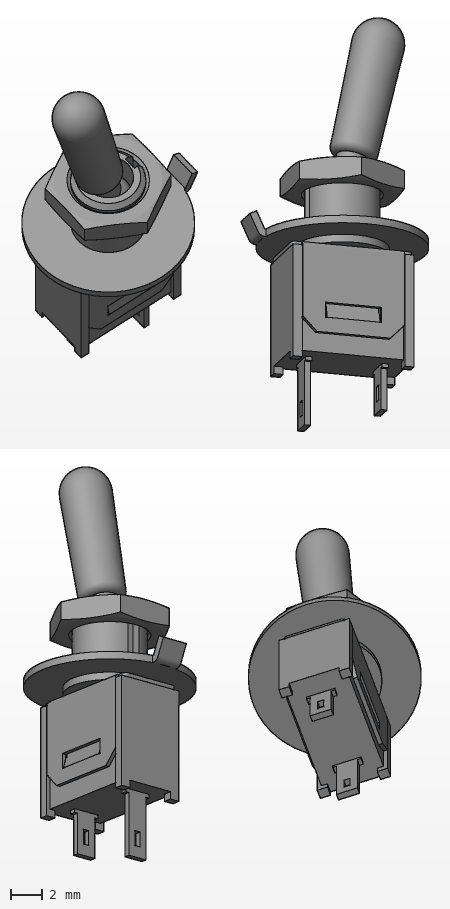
import cadquery as cq
import math


overall_height = 27.7

bushing_diameter = 4.8
bushing_bore = 3.2
bushing_height = 5.87
bushing_chamfer = 0.33
flange_diameter = 5.98
flange_thickness = 0.5
keyway_width = 0.91
keyway_floor = 1.75

washer_diameter = 11.0
washer_thickness = 0.5
washer_bottom = flange_thickness
washer_top = washer_bottom + washer_thickness
tongue_tip = 2.0
tab_width = 1.9
tab_length = 1.27
tab_lean = 25.0
tab_bend_y = 5.48
ring_overlap = 0.28

nut_across_flats = 7.0
nut_thickness = 1.5
nut_countersink_diameter = 5.24
nut_face_diameter = 6.9
nut_chamfer_angle = 15.0
nut_top = bushing_height - bushing_chamfer
nut_bottom = nut_top - nut_thickness

lever_lean = 12.5
pivot_height = 3.55
ball_diameter = bushing_bore
neck_diameter = 2.08
grip_start = 3.13
grip_bottom_diameter = 3.1
dome_diameter = 3.4
grip_fillet = 0.5

sheet = 0.28
body_width = 4.75
body_length = 8.05
post_thickness = 0.6
side_plate_clearance = 0.03
plate_corner_radius = 0.25
side_plate_bottom = -5.95
side_plate_chamfer = 0.95
window_width = 3.75
window_height = 1.0
window_bottom = -4.95

housing_bottom = -7.23
foot_height = 0.5
foot_width = 0.7
latch_width = 3.52

terminal_y = 2.55
terminal_width = 1.4
terminal_thickness = 0.42
shoulder_width = 1.9
shoulder_height = 0.25
long_terminal_length = 4.5
short_terminal_length = 3.0
slot_width = 0.42
slot_height = 1.0
slot_margin = 0.78

lever_top = housing_bottom - long_terminal_length + overall_height
dome_radius = dome_diameter / 2
dome_start = (lever_top - dome_radius - pivot_height) / math.cos(math.radians(lever_lean))
washer_root_y = bushing_diameter / 2 + ring_overlap
core_width = body_width - 2 * sheet
pocket_length = body_length - 2 * post_thickness


def block(width, length, bottom, top):
    """A box centred on the Z axis."""
    return cq.Workplane("XY", origin=(0, 0, bottom)).rect(width, length).extrude(top - bottom)


def cylinder(diameter, bottom, top):
    """A cylinder on the Z axis."""
    return cq.Workplane("XY", origin=(0, 0, bottom)).circle(diameter / 2).extrude(top - bottom)


def keyway_block(inner_y, outer_y, bottom, top):
    """A bar as wide as the keyway, from inner_y to outer_y."""
    return block(keyway_width, outer_y - inner_y, bottom, top).translate((0, (inner_y + outer_y) / 2, 0))


def make_bushing():
    """A flanged tube with a keyway along its +Y side."""
    body = cylinder(bushing_diameter, 0, bushing_height).faces(">Z").chamfer(bushing_chamfer)
    body = body.union(cylinder(flange_diameter, 0, flange_thickness))
    body = body.cut(cylinder(bushing_bore, 0, bushing_height))
    return body.cut(keyway_block(keyway_floor, bushing_diameter, flange_thickness, bushing_height))


def make_washer_tab():
    """The tab at the +Y rim, bent upward around the washer's top edge."""
    lean = math.radians(tab_lean)
    bend_middle_angle = (math.pi / 2 + lean) / 2
    bend = cq.Vector(tab_bend_y, washer_top)
    along = cq.Vector(math.sin(lean), math.cos(lean)) * tab_length
    across = cq.Vector(math.cos(lean), -math.sin(lean)) * washer_thickness
    to_bend_middle = cq.Vector(math.cos(bend_middle_angle), -math.sin(bend_middle_angle)) * washer_thickness
    return (
        cq.Workplane("YZ", origin=(-tab_width / 2, 0, 0))
        .moveTo(washer_root_y, washer_top)
        .lineTo(*bend.toTuple()[:2])
        .lineTo(*(bend + along).toTuple()[:2])
        .lineTo(*(bend + along + across).toTuple()[:2])
        .lineTo(*(bend + across).toTuple()[:2])
        .threePointArc((bend + to_bend_middle).toTuple()[:2], (tab_bend_y, washer_bottom))
        .lineTo(washer_root_y, washer_bottom)
        .close()
        .extrude(tab_width)
    )


def make_washer():
    """A ring with a tongue in the bushing keyway and a bent locating tab."""
    ring = cylinder(washer_diameter, washer_bottom, washer_top)
    ring = ring.cut(cylinder(bushing_diameter, washer_bottom, washer_top))
    tongue = keyway_block(tongue_tip, washer_root_y, washer_bottom, washer_top)
    return ring.union(tongue).union(make_washer_tab())


def make_nut():
    """A hexagon nut with chamfered corners and a bore countersunk at both ends."""
    corner_diameter = nut_across_flats / math.cos(math.pi / 6)
    hexagon = cq.Workplane("XY", origin=(0, 0, nut_bottom)).polygon(6, corner_diameter).extrude(nut_thickness)
    corner_drop = (corner_diameter - nut_face_diameter) / 2 * math.tan(math.radians(nut_chamfer_angle))
    envelope = (
        cq.Workplane("XZ")
        .moveTo(0, nut_bottom)
        .lineTo(nut_face_diameter / 2, nut_bottom)
        .lineTo(corner_diameter / 2, nut_bottom + corner_drop)
        .lineTo(corner_diameter / 2, nut_top - corner_drop)
        .lineTo(nut_face_diameter / 2, nut_top)
        .lineTo(0, nut_top)
        .close()
        .revolve()
    )
    countersink_depth = (nut_countersink_diameter - bushing_diameter) / 2
    nut = hexagon.intersect(envelope).cut(cylinder(bushing_diameter, nut_bottom, nut_top))
    bore_edges = nut.faces("<Z or >Z").edges(cq.selectors.RadiusNthSelector(0))
    return bore_edges.chamfer(countersink_depth)


def make_lever():
    """A domed, tapered grip on a neck and pivot ball, built upright about the pivot and then leaned."""
    dome_middle = dome_radius * math.sqrt(0.5)
    grip = (
        cq.Workplane("XZ")
        .moveTo(0, grip_start)
        .lineTo(grip_bottom_diameter / 2, grip_start)
        .lineTo(dome_radius, dome_start)
        .threePointArc((dome_middle, dome_start + dome_middle), (0, dome_start + dome_radius))
        .close()
        .revolve()
        .faces("<Z")
        .edges()
        .fillet(grip_fillet)
    )
    ball = cq.Workplane("XY").sphere(ball_diameter / 2)
    neck = cylinder(neck_diameter, 0, grip_start)
    lever = grip.union(ball).union(neck)
    return lever.rotate((0, 0, 0), (1, 0, 0), lever_lean).translate((0, 0, pivot_height))


def make_bracket():
    """A top plate with two side plates bent down from it along X."""
    plate = block(core_width, body_length, -sheet, 0).edges("|Z").fillet(plate_corner_radius)
    side_length = pocket_length - 2 * side_plate_clearance
    cover = block(body_width, side_length, side_plate_bottom, 0)
    cover = cover.edges("|Y and >Z").fillet(sheet)
    cover = cover.edges("|X and <Z").chamfer(side_plate_chamfer)
    cover = cover.cut(block(core_width, side_length, side_plate_bottom, -sheet))

    windows = block(body_width, window_width, window_bottom, window_bottom + window_height)
    return plate.union(cover).cut(windows)


def make_latch(side):
    """A ramp that fills the bracket window at its lower edge; side is -1 or 1 along X."""
    root = side * core_width / 2
    return (
        cq.Workplane("XZ", origin=(0, latch_width / 2, 0))
        .moveTo(root, window_bottom)
        .lineTo(side * body_width / 2, window_bottom)
        .lineTo(root, window_bottom + window_height)
        .close()
        .extrude(latch_width)
    )


def make_housing():
    """A core between two full-width end posts, with a foot at each corner and a latch on each side."""
    housing = block(core_width, body_length, housing_bottom, -sheet)
    for side in (-1, 1):
        post = block(body_width, post_thickness, housing_bottom - foot_height, -sheet)
        post = post.cut(
            block(body_width - 2 * foot_width, post_thickness, housing_bottom - foot_height, housing_bottom)
        )
        housing = housing.union(post.translate((0, side * (body_length - post_thickness) / 2, 0)))
        housing = housing.union(make_latch(side))
    return housing


def make_terminal(y, length):
    """A flat solder lug that hangs from the housing at y."""
    tip = housing_bottom - length
    slot_bottom = tip + slot_margin
    terminal = block(terminal_width, terminal_thickness, tip, housing_bottom)
    terminal = terminal.union(
        block(shoulder_width, terminal_thickness, housing_bottom - shoulder_height, housing_bottom)
    )
    terminal = terminal.cut(block(slot_width, terminal_thickness, slot_bottom, slot_bottom + slot_height))
    return terminal.translate((0, y, 0))


bushing = make_bushing()
washer = make_washer()
nut = make_nut()
lever = make_lever()
bracket = make_bracket()
housing = make_housing()
terminals = [
    make_terminal(y, length)
    for y, length in ((terminal_y, long_terminal_length), (-terminal_y, short_terminal_length))
]

result = cq.Compound.makeCompound(
    [
        bushing.val(),
        washer.val(),
        nut.val(),
        lever.val(),
        bracket.val(),
        housing.val(),
        *[terminal.val() for terminal in terminals],
    ]
)